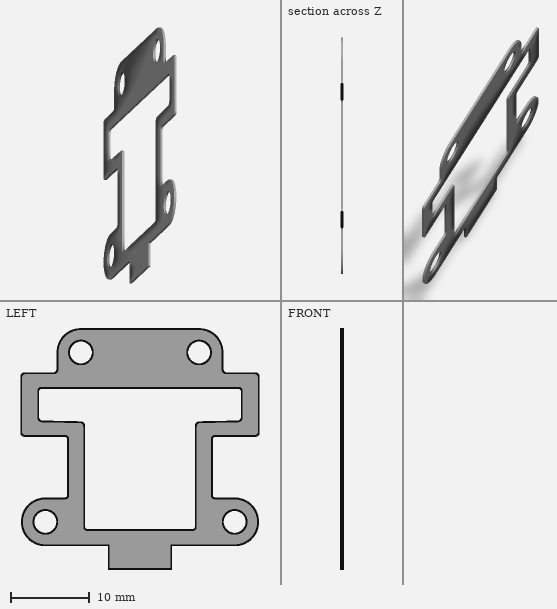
import cadquery as cq

thickness = 0.3
height = 30.5

ear_radius = 3.0
hole_diameter = 3.0
upper_hole_offset = 7.5
lower_hole_offset = 12.02
tab_height = 3.02
tab_half_width = 4.0
foot_top = tab_height + 2 * ear_radius
lower_hole_height = tab_height + ear_radius
upper_hole_height = height - ear_radius

arm_half_width = 15.1
arm_top = 24.9
arm_bottom = 16.9
head_half_width = upper_hole_offset + ear_radius
leg_half_width = 9.15

window_top = 23.0
window_bottom = 5.0
window_half_width = 12.9
ledge_outer_height = 18.8
ledge_inner_height = 18.67
throat_half_width = 7.08

corner_radius = 0.5
small_corner_radius = 0.37


def symmetric_plate(half_outline):
    """Extrude the (Y, Z) half outline joined to its mirror image."""
    mirrored = [(-y, z) for y, z in reversed(half_outline)]
    sketch = cq.Workplane("YZ").polyline(half_outline + mirrored).close()
    return sketch.extrude(thickness / 2, both=True)


def round_corners(plate, corners, radius):
    """Round the edges along X at the given (Y, Z) corners on both sides."""
    for y, z in corners:
        for side in (-1, 1):
            nearest = cq.selectors.NearestToPointSelector((0, side * y, z))
            plate = plate.edges("|X").edges(nearest).fillet(radius)
    return plate


frame = symmetric_plate([
    (tab_half_width, 0),
    (tab_half_width, tab_height),
    (lower_hole_offset, tab_height),
    (lower_hole_offset, foot_top),
    (leg_half_width, foot_top),
    (leg_half_width, arm_bottom),
    (arm_half_width, arm_bottom),
    (arm_half_width, arm_top),
    (head_half_width, arm_top),
    (head_half_width, height),
])
frame = round_corners(frame, [(head_half_width, height)], ear_radius)
frame = round_corners(
    frame,
    [
        (arm_half_width, arm_bottom),
        (arm_half_width, arm_top),
        (head_half_width, arm_top),
    ],
    corner_radius,
)
frame = round_corners(
    frame,
    [(leg_half_width, foot_top), (leg_half_width, arm_bottom)],
    small_corner_radius,
)

lower_holes = [(side * lower_hole_offset, lower_hole_height) for side in (-1, 1)]
ear_ends = (
    cq.Workplane("YZ")
    .pushPoints(lower_holes)
    .circle(ear_radius)
    .extrude(thickness / 2, both=True)
)

window = symmetric_plate([
    (throat_half_width, window_bottom),
    (throat_half_width, ledge_inner_height),
    (window_half_width, ledge_outer_height),
    (window_half_width, window_top),
])
window = round_corners(
    window,
    [
        (throat_half_width, ledge_inner_height),
        (window_half_width, ledge_outer_height),
    ],
    corner_radius,
)
window = round_corners(
    window,
    [(throat_half_width, window_bottom), (window_half_width, window_top)],
    small_corner_radius,
)

upper_holes = [(side * upper_hole_offset, upper_hole_height) for side in (-1, 1)]
holes = (
    cq.Workplane("YZ")
    .pushPoints(lower_holes + upper_holes)
    .circle(hole_diameter / 2)
    .extrude(thickness, both=True)
)

result = frame.union(ear_ends).cut(window).cut(holes)